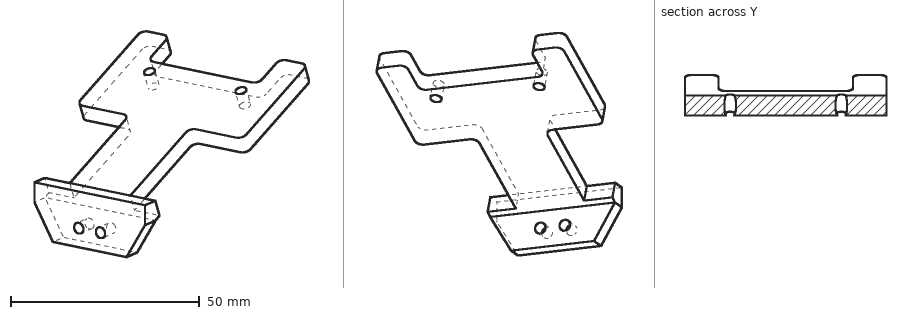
import cadquery as cq
import math

overall_width = 53.5
overall_depth = 64.8
overall_height = 39.95

thickness = 5.0
foot_width = 35.65
foot_bottom_width = 23.7
foot_height = 15.5
taper_height = 10.0
foot_hole_spacing = 7.0
foot_hole_height = 5.3

tilt = 22.84
bend_depth = 4.85
neck_width = 19.5
arm_width = 8.95
notch_length = 11.0
head_length = 33.0
plate_hole_spacing = 29.45
plate_hole_from_tip = 15.0
corner_radius = 2.0
hole_diameter = 3.0

sine = math.sin(math.radians(tilt))
cosine = math.cos(math.radians(tilt))
plate_length = (overall_height - foot_height) / sine


def make_foot():
    """Full-width bent foot, tapered towards the bottom, with two holes."""
    under_bend = (bend_depth + thickness * sine, foot_height - thickness * cosine)
    profile = [
        (0, 0),
        (thickness, 0),
        (thickness, taper_height),
        under_bend,
        (bend_depth, foot_height),
        (0, foot_height),
    ]
    body = cq.Workplane("YZ").polyline(profile).close().extrude(foot_width / 2, both=True)
    outline = [
        (-foot_bottom_width / 2, 0),
        (foot_bottom_width / 2, 0),
        (foot_width / 2, taper_height),
        (foot_width / 2, foot_height),
        (-foot_width / 2, foot_height),
        (-foot_width / 2, taper_height),
    ]
    tapered_block = cq.Workplane("XZ").polyline(outline).close().extrude(-overall_depth)
    holes = (
        cq.Workplane("XZ")
        .pushPoints([(side * foot_hole_spacing / 2, foot_hole_height) for side in (-1, 1)])
        .circle(hole_diameter / 2)
        .extrude(-overall_depth)
    )
    return body.intersect(tapered_block).cut(holes)


def make_plate():
    """T-shaped plate with a notched end; its top face starts at the bend and slopes up."""
    head_start = plate_length - head_length
    neck = cq.Workplane("XY").box(neck_width, plate_length, thickness, centered=(True, False, False))
    head = (
        cq.Workplane("XY")
        .box(overall_width, head_length, thickness, centered=(True, False, False))
        .translate((0, head_start, 0))
    )
    notch = (
        cq.Workplane("XY")
        .box(overall_width - 2 * arm_width, notch_length, thickness, centered=(True, False, False))
        .translate((0, plate_length - notch_length, 0))
    )
    rounded_corners = cq.selectors.BoxSelector(
        (-overall_width, head_start - corner_radius, -thickness),
        (overall_width, plate_length + corner_radius, 2 * thickness),
    )
    plate = neck.union(head).cut(notch).edges("|Z").edges(rounded_corners).fillet(corner_radius)
    hole_position = plate_length - plate_hole_from_tip
    holes = (
        cq.Workplane("XY")
        .pushPoints([(side * plate_hole_spacing / 2, hole_position) for side in (-1, 1)])
        .circle(hole_diameter / 2)
        .extrude(thickness)
    )
    return (
        plate.cut(holes)
        .translate((0, 0, -thickness))
        .rotate((0, 0, 0), (1, 0, 0), tilt)
        .translate((0, bend_depth, foot_height))
    )


result = make_foot().union(make_plate())